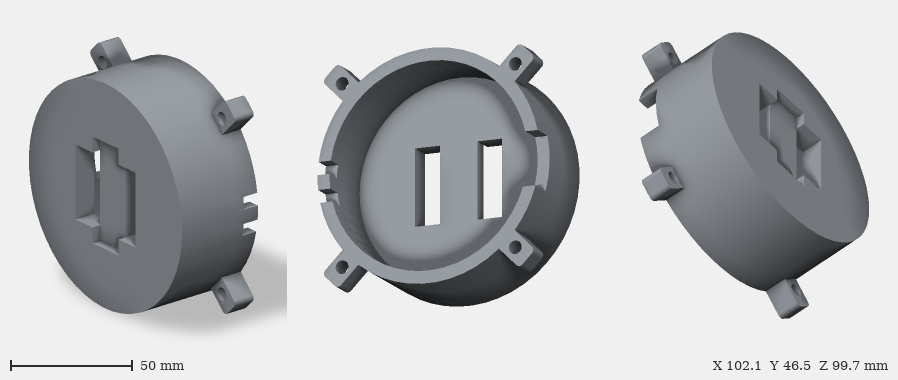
import cadquery as cq

outer_diameter = 99.7
inner_diameter = 88.8
height = 40.0
floor_thickness = 10.0
tilt_angle = 3.8

window_width = 38.9
window_height = 33.2
bar_width = 16.8
bar_height = 47.3
bar_recess = 4.0

tab_angles = (45, 135, 225, 315)
tab_width = 10.0
tab_thickness = 10.0
tab_reach = 62.6
tab_corner_radius = 2.0
tab_hole_diameter = 5.7
tab_hole_radius = 54.9

rim_cut_z = -1.8
notch_width = 23.3
notch_depth = 10.0
slot_width = 5.5
slot_depth = 7.4
slot_spacing = 11.8

outer_radius = outer_diameter / 2
inner_radius = inner_diameter / 2
wall_middle_radius = (outer_radius + inner_radius) / 2
rim_cut_length = 4 * (outer_radius - inner_radius)


def box(x_size, y_start, y_size, z_size, x=0.0, z=0.0):
    """Box centred at x and z, running in +Y from y_start."""
    return cq.Workplane("XY").box(x_size, y_size, z_size).translate((x, y_start + y_size / 2, z))


def disc(diameter, y_start, y_size, x=0.0):
    """Cylinder along Y, running in +Y from y_start."""
    return cq.Workplane("XZ", origin=(x, y_start, 0)).circle(diameter / 2).extrude(-y_size)


def housing():
    cavity = disc(inner_diameter, floor_thickness, height - floor_thickness)
    return disc(outer_diameter, 0, height).cut(cavity)


def front_opening():
    side_width = (window_width - bar_width) / 2
    side_offset = (window_width + bar_width) / 4
    opening = box(bar_width, 0, bar_recess, bar_height)
    for side in (-1, 1):
        opening = opening.union(box(side_width, 0, floor_thickness, window_height, x=side * side_offset))
    return opening


def tab(angle):
    y_start = height - tab_thickness
    length = tab_reach - wall_middle_radius
    body = box(length, y_start, tab_thickness, tab_width, x=(tab_reach + wall_middle_radius) / 2)
    body = body.edges("|Y and >X").fillet(tab_corner_radius)
    body = body.cut(disc(tab_hole_diameter, y_start, tab_thickness, x=tab_hole_radius))
    return body.rotate((0, 0, 0), (0, 1, 0), angle)


def rim_cut(side, width, depth, z):
    return box(rim_cut_length, height - depth, depth, width, x=side * wall_middle_radius, z=z)


result = housing().cut(front_opening())
for tab_angle in tab_angles:
    result = result.union(tab(tab_angle))

result = result.cut(rim_cut(-1, notch_width, notch_depth, rim_cut_z))
for slot_side in (-1, 1):
    slot_z = rim_cut_z + slot_side * slot_spacing / 2
    result = result.cut(rim_cut(1, slot_width, slot_depth, slot_z))

result = result.rotate((0, 0, 0), (0, 0, 1), -tilt_angle)